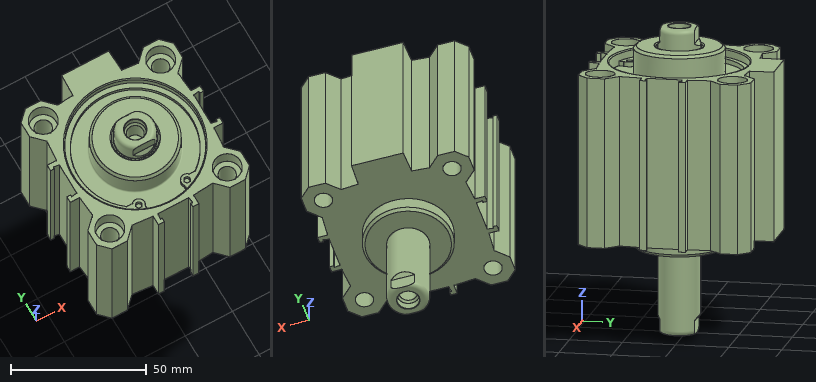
import cadquery as cq
import math


housing_height = 64.5
half_width = 32.5
corner_chamfer = 4.2
corner_inner = 21.8
lobe_end_wall = 27.8
lobe_end_along = corner_inner - (half_width - lobe_end_wall)
mid_wall = 28.5
port_block_reach = 37.5
port_block_half_base = 10.4
port_block_half_tip = 10.0
port_block_base = 28.3

fin_outer = 8.6
fin_root_inner = 6.5
fin_neck_inner = 6.9
fin_hook_inner = 6.0
fin_hook_length = 1.6

mount_offset = 24.9
mount_diameter = 6.8
mount_counterbore_diameter = 11.0
mount_counterbore_depth = 7.0

boss_diameter = 34.0
boss_height = 6.0
boss_chamfer = 1.0

bore_diameter = 52.2
bore_chamfer = 0.5
cover_face_depth = 5.0
cover_plate_thickness = 10.0
cover_root_fillet = 0.7
cover_face_z = housing_height - cover_face_depth
cover_bottom_z = cover_face_z - cover_plate_thickness
boss_top_z = housing_height + boss_height

ring_thickness = 1.7
ring_inner_radius = 24.0
ear_x = 10.3
ear_y = -20.7
ear_radius = 2.5
ear_hole_diameter = 2.5
ear_shoulder_y = -19.1
ring_gap_half_angle = 19.9

rod_diameter = 16.0
rod_radius = rod_diameter / 2
rod_top_reach = 7.5
rod_bottom_reach = 38.5
rod_end_fillet = 1.9
rod_flat_width = 13.0
rod_flat_length = 5.6
rod_top_z = boss_top_z + rod_top_reach
rod_bottom_z = -rod_bottom_reach
thread_diameter = 6.6
thread_mouth_diameter = 8.3
thread_mouth_chamfer_diameter = 8.6
thread_mouth_depth = 3.1
thread_mouth_chamfer = (thread_mouth_chamfer_diameter - thread_mouth_diameter) / 2
thread_step = (thread_mouth_diameter - thread_diameter) / 2
thread_depth = 12.8
hole_tip_half_angle = 80

wiper_diameter = 17.7
wiper_depth = 3.5
wiper_face_inner_diameter = 16.5
wiper_recess = 0.7
cover_mouth_chamfer = 0.5
wiper_seat_z = boss_top_z - wiper_depth


def cylinder(diameter, z_low, z_high):
    return cq.Workplane("XY").workplane(offset=z_low).circle(diameter / 2).extrude(z_high - z_low)


def make_fins():
    """A pair of hooked fins on the +X side, hooks facing each other."""
    hook_start = half_width - fin_hook_length
    root = mid_wall - 1.2
    fin = (
        cq.Workplane("XY")
        .polyline([
            (root, fin_outer),
            (half_width, fin_outer),
            (half_width, fin_hook_inner),
            (hook_start, fin_hook_inner),
            (hook_start, fin_neck_inner),
            (mid_wall, fin_root_inner),
            (root, fin_root_inner),
        ])
        .close()
        .extrude(housing_height)
    )
    return fin.union(fin.mirror("XZ"))


def make_profile_body():
    """Four-lobed profile with fins on three sides and a port block on +Y."""
    lobe_tip = half_width - corner_chamfer
    quarter = [
        (mid_wall, fin_outer),
        (lobe_end_wall, lobe_end_along),
        (half_width, corner_inner),
        (half_width, lobe_tip),
        (lobe_tip, half_width),
        (corner_inner, half_width),
        (lobe_end_along, lobe_end_wall),
        (fin_outer, mid_wall),
    ]
    outline = []
    for turn in range(4):
        c = round(math.cos(turn * math.pi / 2))
        s = round(math.sin(turn * math.pi / 2))
        outline += [(c * x - s * y, s * x + c * y) for x, y in quarter]
    body = cq.Workplane("XY").polyline(outline).close().extrude(housing_height)
    fins = make_fins()
    for angle in (0, 180, 270):
        body = body.union(fins.rotate((0, 0, 0), (0, 0, 1), angle))
    port_block = (
        cq.Workplane("XY")
        .polyline([
            (-port_block_half_base, port_block_base),
            (port_block_half_base, port_block_base),
            (port_block_half_tip, port_block_reach),
            (-port_block_half_tip, port_block_reach),
        ])
        .close()
        .extrude(housing_height)
    )
    return body.union(port_block)


def make_housing():
    body = make_profile_body()
    boss = cylinder(boss_diameter, -boss_height, 0).faces("<Z").chamfer(boss_chamfer)
    body = body.union(boss)
    body = body.cut(cylinder(bore_diameter, cover_bottom_z, housing_height))
    body = body.faces(">Z").edges("%CIRCLE").chamfer(bore_chamfer)
    body = body.cut(cylinder(rod_diameter, -boss_height, cover_bottom_z))
    return (
        body.faces(">Z").workplane(origin=(0, 0, housing_height))
        .rect(2 * mount_offset, 2 * mount_offset, forConstruction=True)
        .vertices()
        .cboreHole(mount_diameter, mount_counterbore_diameter, mount_counterbore_depth)
    )


def make_cover():
    """Plate with a boss, bored for the rod and recessed for the wiper."""
    r_plate = bore_diameter / 2
    r_boss = boss_diameter / 2
    r_wiper = wiper_diameter / 2
    return (
        cq.Workplane("XZ")
        .moveTo(rod_radius, cover_bottom_z)
        .lineTo(r_plate, cover_bottom_z)
        .lineTo(r_plate, cover_face_z)
        .lineTo(r_boss + cover_root_fillet, cover_face_z)
        .radiusArc((r_boss, cover_face_z + cover_root_fillet), cover_root_fillet)
        .lineTo(r_boss, boss_top_z - boss_chamfer)
        .lineTo(r_boss - boss_chamfer, boss_top_z)
        .lineTo(r_wiper + cover_mouth_chamfer, boss_top_z)
        .lineTo(r_wiper, boss_top_z - cover_mouth_chamfer)
        .lineTo(r_wiper, wiper_seat_z)
        .lineTo(rod_radius, wiper_seat_z)
        .close()
        .revolve(360, (0, 0, 0), (0, 1, 0))
    )


def make_wiper():
    """Ring around the rod, beveled toward the rod."""
    top_z = boss_top_z - wiper_recess
    r_outer = wiper_diameter / 2
    r_face_inner = wiper_face_inner_diameter / 2
    return (
        cq.Workplane("XZ")
        .polyline([
            (rod_radius, wiper_seat_z),
            (r_outer, wiper_seat_z),
            (r_outer, top_z),
            (r_face_inner, top_z),
            (rod_radius, top_z - (r_face_inner - rod_radius)),
        ])
        .close()
        .revolve(360, (0, 0, 0), (0, 1, 0))
    )


def make_retaining_ring():
    """Open ring lying on the cover plate, with a drilled ear at each end."""
    base = cq.Workplane("XY").workplane(offset=cover_face_z)
    envelope = base.circle(bore_diameter / 2).extrude(ring_thickness)
    ring = base.circle(bore_diameter / 2).circle(ring_inner_radius).extrude(ring_thickness)
    gap_angle = math.radians(ring_gap_half_angle)
    gap_end_x = bore_diameter / 2 * math.sin(gap_angle)
    gap_end_y = -bore_diameter / 2 * math.cos(gap_angle)
    gap = base.polyline([(0, 0), (2 * gap_end_x, 2 * gap_end_y), (-2 * gap_end_x, 2 * gap_end_y)]).close()
    ring = ring.cut(gap.extrude(ring_thickness))
    shoulder_end = math.sqrt(ring_inner_radius**2 - ear_shoulder_y**2)
    for side in (-1, 1):
        shoulder = base.polyline([
            (side * shoulder_end, ear_shoulder_y),
            (side * ear_x, ear_shoulder_y),
            (side * ear_x, ear_y),
            (side * (ear_x - ear_radius), ear_y),
            (side * gap_end_x, gap_end_y),
            (side * shoulder_end, gap_end_y),
        ]).close().extrude(ring_thickness)
        lug = base.center(side * ear_x, ear_y).circle(ear_radius).extrude(ring_thickness)
        ring = ring.union(shoulder.union(lug).intersect(envelope))
    holes = base.pushPoints([(-ear_x, ear_y), (ear_x, ear_y)]).circle(ear_hole_diameter / 2)
    return ring.cut(holes.extrude(ring_thickness))


def make_rod_end_cuts():
    """Wrench flats with 45 degree run-outs and the threaded hole of the upper rod end."""
    flat_y = rod_flat_width / 2
    outside = rod_diameter
    flat_z = rod_top_z - rod_flat_length
    flat = (
        cq.Workplane("YZ")
        .polyline([
            (flat_y, rod_top_z),
            (flat_y, flat_z),
            (outside, flat_z - (outside - flat_y)),
            (outside, rod_top_z),
        ])
        .close()
        .extrude(rod_radius, both=True)
    )
    r_mouth = thread_mouth_diameter / 2
    r_thread = thread_diameter / 2
    step_z = rod_top_z - thread_mouth_depth
    hole_z = rod_top_z - thread_depth
    tip_height = r_thread / math.tan(math.radians(hole_tip_half_angle))
    hole = (
        cq.Workplane("XZ")
        .polyline([
            (0, rod_top_z),
            (r_mouth + thread_mouth_chamfer, rod_top_z),
            (r_mouth, rod_top_z - thread_mouth_chamfer),
            (r_mouth, step_z),
            (r_thread, step_z - thread_step),
            (r_thread, hole_z),
            (0, hole_z - tip_height),
        ])
        .close()
        .revolve(360, (0, 0, 0), (0, 1, 0))
    )
    return flat.union(flat.mirror("XZ")).union(hole)


def make_rod():
    """Rod with the same end shape at both ends."""
    middle_z = (rod_top_z + rod_bottom_z) / 2
    end_cuts = make_rod_end_cuts()
    rod = cylinder(rod_diameter, rod_bottom_z, rod_top_z).edges("%CIRCLE").fillet(rod_end_fillet)
    return rod.cut(end_cuts).cut(end_cuts.mirror("XY", (0, 0, middle_z)))


housing = make_housing()
cover = make_cover()
wiper = make_wiper()
retaining_ring = make_retaining_ring()
rod = make_rod()

result = cq.Compound.makeCompound(
    [housing.val(), cover.val(), wiper.val(), retaining_ring.val(), rod.val()]
)